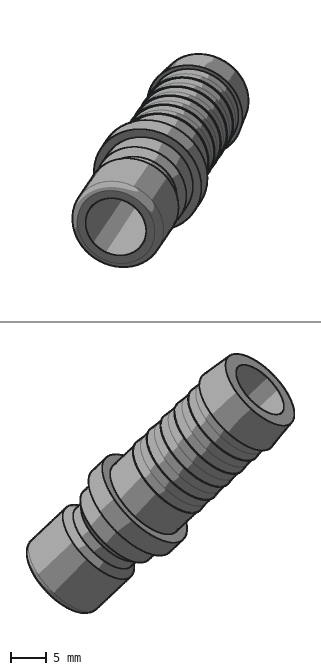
import cadquery as cq

length = 43.5
bore_radius = 9.0 / 2

stem_radius = 13.0 / 2
head_radius = 14.2 / 2
head_length = 5.0
barb_count = 5
barb_radius = 13.3 / 2
barb_length = 1.5
barb_pitch = 3.0
first_barb_start = 6.5

collar_radius = 16.0 / 2
collar_start = 25.0
collar_length = 3.0

plug_radius = 13.5 / 2
groove_radius = 11.4 / 2
groove_start = 31.25
groove_end = 35.0
nose_fillet = 1.0


def cone(start, end, start_radius, end_radius):
    """Solid frustum about Y between two distances from the hose end."""
    center = length / 2
    profile = cq.Workplane("XY").polyline([
        (0, center - start),
        (start_radius, center - start),
        (end_radius, center - end),
        (0, center - end),
    ]).close()
    return profile.revolve(360, (0, 0, 0), (0, 1, 0))


def cylinder(start, end, radius):
    return cone(start, end, radius, radius)


def hose_tail():
    tail = cylinder(0, collar_start, stem_radius)
    tail = tail.union(cone(0, head_length, stem_radius, head_radius))
    for index in range(barb_count):
        start = first_barb_start + index * barb_pitch
        tail = tail.union(cone(start, start + barb_length, stem_radius, barb_radius))
    return tail


def plug():
    flank = plug_radius - groove_radius
    nose = cylinder(groove_end, length, plug_radius).faces("<Y").edges().fillet(nose_fillet)
    return (
        cylinder(collar_start, groove_start, plug_radius)
        .union(cone(groove_start, groove_start + flank, plug_radius, groove_radius))
        .union(cylinder(groove_start + flank, groove_end - flank, groove_radius))
        .union(cone(groove_end - flank, groove_end, groove_radius, plug_radius))
        .union(nose)
    )


collar = cylinder(collar_start, collar_start + collar_length, collar_radius)
bore = cylinder(0, length, bore_radius)
result = hose_tail().union(collar).union(plug()).cut(bore)